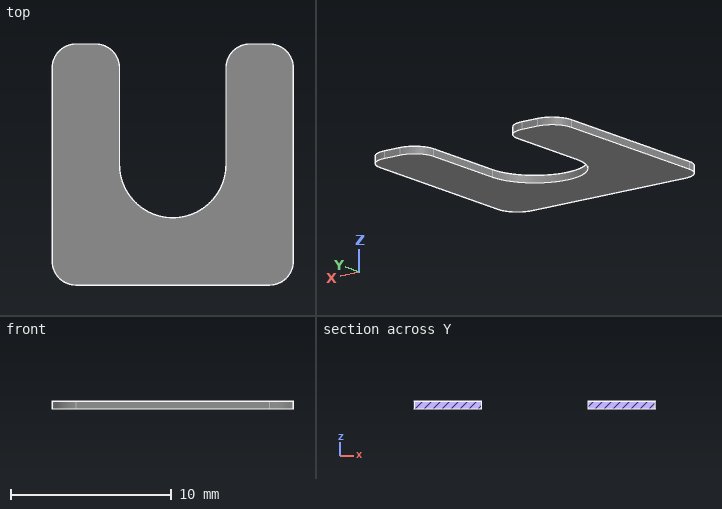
import cadquery as cq

side = 15.0
thickness = 0.5
slot_width = 6.6
corner_radius = 1.5

slot_radius = slot_width / 2
half_side = side / 2


def make_plate():
    """Square shim plate centred on the Z axis, resting on Z = 0."""
    return cq.Workplane("XY").rect(side, side).extrude(thickness)


def make_slot():
    """Round-ended slot centred on the plate and open toward +Y."""
    profile = (
        cq.Workplane("XY")
        .moveTo(-slot_radius, half_side)
        .lineTo(-slot_radius, 0)
        .threePointArc((0, -slot_radius), (slot_radius, 0))
        .lineTo(slot_radius, half_side)
        .close()
    )
    return profile.extrude(thickness)


def round_corners(plate):
    """Round the four outer corners and the two corners at the slot mouth."""
    outer_and_mouth = "(<X or >X or >Y) and |Z"
    return plate.edges(outer_and_mouth).fillet(corner_radius)


result = round_corners(make_plate().cut(make_slot()))